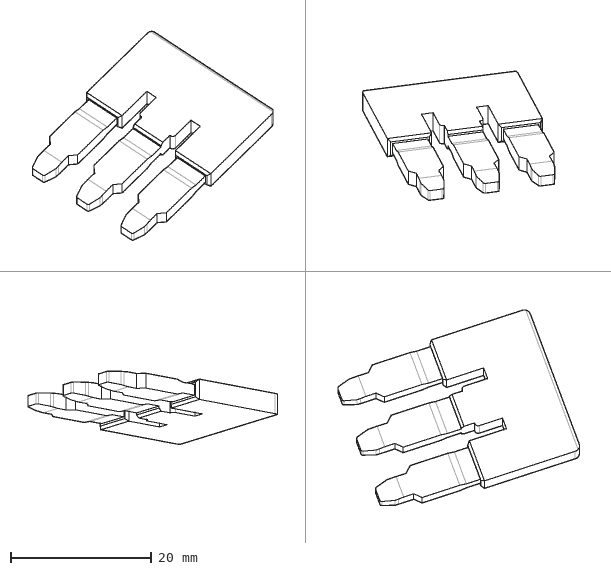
import cadquery as cq
body_width = 22.9
body_length = 14.7
body_thickness = 3.0
back_corner_radius = 1.0
back_edge_radius = 0.5
front_chamfer = 0.4

slot_inner_x = 3.22
slot_outer_x = 4.92
slot_bottom_y = -9.1
shoulder_y = -13.1
shoulder_radius = 0.5

pin_pitch = 8.17
pin_count = 3
pin_width = 5.2
pin_thickness = 2.2
root_thickness = 1.6
tip_thickness = 1.6
neck_width = 3.32
flare_width = 3.38
tip_width = 2.22
tip_corner_radius = 0.3

ramp_start_y = -17.2
ramp_end_y = -18.2
waist_start_y = -23.9
waist_end_y = waist_start_y - (pin_width - neck_width) / 2
tip_taper_y = -26.35
flare_end_y = -27.15
tip_bend_y = -27.7
tip_y = -29.7

body_end_y = -(body_length + front_chamfer)


def box_between(x_min, x_max, y_min, y_max, height):
    """Box spanning the given X and Y limits, centred on Z = 0."""
    size_x = x_max - x_min
    size_y = y_max - y_min
    centre = ((x_min + x_max) / 2, (y_min + y_max) / 2, 0)
    return cq.Workplane("XY").box(size_x, size_y, height).translate(centre)


def symmetric_prism(plane, half_outline, length):
    """Prism of an outline mirrored about Y; half_outline lists (half size, Y) pairs."""
    right = [(half, y) for half, y in half_outline]
    left = [(-half, y) for half, y in reversed(half_outline)]
    return plane.polyline(right + left).close().extrude(length / 2, both=True)


def side_plane():
    """Sketch plane whose local x is Z and local y is Y; it extrudes along X."""
    return cq.Workplane(cq.Plane(origin=(0, 0, 0), xDir=(0, 0, 1), normal=(-1, 0, 0)))


def make_body():
    half_width = body_width / 2
    half_thickness = body_thickness / 2
    plate = box_between(-half_width, half_width, body_end_y, 0, body_thickness)
    plate = plate.edges("|Z and >Y").fillet(back_corner_radius)

    for inner, outer in ((slot_inner_x, slot_outer_x), (-slot_outer_x, -slot_inner_x)):
        plate = plate.cut(box_between(inner, outer, body_end_y, slot_bottom_y, body_thickness))

    wide_part = box_between(-slot_inner_x, slot_inner_x, shoulder_y, slot_bottom_y, body_thickness)
    wide_part = wide_part.edges("|Z and <Y").fillet(shoulder_radius)
    narrow_part = box_between(-pin_width / 2, pin_width / 2, body_end_y, slot_bottom_y, body_thickness)
    middle_finger = wide_part.union(narrow_part)
    finger_space = box_between(-slot_inner_x, slot_inner_x, body_end_y, slot_bottom_y, body_thickness)
    plate = plate.cut(finger_space).union(middle_finger)

    plan_outline = symmetric_prism(
        cq.Workplane("XY"),
        [
            (half_width, 0),
            (half_width, -body_length),
            (half_width - front_chamfer, body_end_y),
            (slot_outer_x + front_chamfer, body_end_y),
            (slot_outer_x, -body_length),
            (slot_outer_x, slot_bottom_y),
            (slot_inner_x, slot_bottom_y),
            (slot_inner_x, body_end_y),
        ],
        body_thickness,
    )
    side_profile = symmetric_prism(
        side_plane(),
        [
            (half_thickness, 0),
            (half_thickness, -body_length),
            (half_thickness - front_chamfer, body_end_y),
        ],
        body_width,
    )
    side_profile = side_profile.edges("|X and >Y").fillet(back_edge_radius)
    return plate.intersect(plan_outline).intersect(side_profile)


def make_pin():
    outline = symmetric_prism(
        cq.Workplane("XY"),
        [
            (pin_width / 2, -body_length),
            (pin_width / 2, waist_start_y),
            (neck_width / 2, waist_end_y),
            (flare_width / 2, flare_end_y),
            (flare_width / 2, tip_bend_y),
            (tip_width / 2, tip_y),
        ],
        body_thickness,
    )
    outline = outline.edges("|Z and <Y").fillet(tip_corner_radius)

    side_profile = symmetric_prism(
        side_plane(),
        [
            (root_thickness / 2, -body_length),
            (root_thickness / 2, ramp_start_y),
            (pin_thickness / 2, ramp_end_y),
            (pin_thickness / 2, tip_taper_y),
            (tip_thickness / 2, tip_y),
        ],
        pin_width,
    )
    return outline.intersect(side_profile)


result = make_body()
pin = make_pin()
for index in range(pin_count):
    pin_x = (index - (pin_count - 1) / 2) * pin_pitch
    result = result.union(pin.translate((pin_x, 0, 0)))